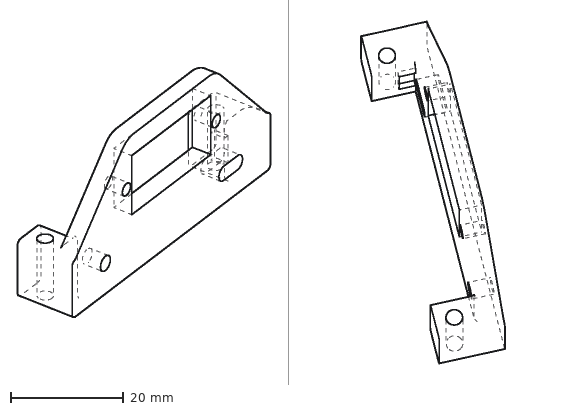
import cadquery as cq
import math

depth = 12.0
length = 60.4
height = 29.6
half_length = length / 2

plate_thickness = 4.05
plate_front = depth - plate_thickness
edge_radius = 1.0
shoulder_y = 13.5
shoulder_radius = 4.85
slope_foot_y = 29.35
plate_half_width = 29.6

block_height = 12.1
left_block_width = 8.45
right_block_width = 7.1
left_block_hole_y = 25.1
right_block_hole_y = -26.7
block_hole_x = 3.55
block_hole_diameter = 2.95

window_width = 24.0
window_bottom = 12.6
window_top = 25.2
window_screw_y = 13.65
window_screw_z = 18.85
window_screw_diameter = 2.5

fixing_z = 6.5
fixing_diameter = 3.0
slot_y = 18.05
slot_length = 7.2
fixing_hole_y = -20.05

recess_front = 4.95
recess_depth = 1.0
recess_height = 5.8


def box_between(x_range, y_range, z_range):
    """Axis-aligned box given by its limits."""
    sizes = [high - low for low, high in (x_range, y_range, z_range)]
    corner = (x_range[0], y_range[0], z_range[0])
    return cq.Workplane("XY").box(*sizes, centered=False).translate(corner)


def plate_sketch():
    """Workplane on the plate front, with local axes along Y and Z."""
    return cq.Workplane("YZ", origin=(plate_front, 0, 0))


def make_plate():
    """Plate with sloping sides, rounded shoulders and a rounded front rim."""
    slope_run = (slope_foot_y - shoulder_y) / (height - block_height)
    slope_end_z = block_height - (plate_half_width - slope_foot_y) / slope_run
    outline = [
        (-plate_half_width, 0),
        (plate_half_width, 0),
        (plate_half_width, slope_end_z),
        (shoulder_y, height),
        (-shoulder_y, height),
        (-plate_half_width, slope_end_z),
    ]
    plate = plate_sketch().polyline(outline).close().extrude(plate_thickness)
    plate = plate.edges("|X").edges(">Z").fillet(shoulder_radius)
    return plate.faces("<X").edges().fillet(edge_radius)


def make_block(y_low, y_high):
    """Square-edged block running the full depth."""
    return box_between((0, depth), (y_low, y_high), (0, block_height))


def fillet_block_tops(body):
    """Concave fillet where the block tops run into the plate front."""
    seams = cq.selectors.BoxSelector(
        (plate_front - 0.05, -half_length, block_height - 0.05),
        (plate_front + edge_radius, half_length, block_height + 0.05),
    )
    return body.edges(seams).fillet(edge_radius)


def round_block_edges(body):
    """Round the long block edges except the inner top ones."""
    long_edges = body.edges("|X").filter(lambda edge: edge.BoundingBox().xmin < 0.05)
    rounded = [
        edge for edge in long_edges.vals()
        if edge.Center().z < block_height - 0.05 or abs(edge.Center().y) > half_length - 0.05
    ]
    return body.newObject(rounded).fillet(edge_radius)


def inner_top_cutter(inner_y, inward):
    """Waste over a rounded inner top edge, following the concave fillet up to the plate.

    inward is the Y direction, +1 or -1, from the inner side into the block.
    """
    bend_start = plate_front - edge_radius
    sideways = inward * edge_radius
    diagonal = edge_radius * (1 - math.sqrt(0.5))
    profile = (
        cq.Workplane("YZ", origin=(bend_start, inner_y, block_height))
        .moveTo(sideways, 0)
        .threePointArc((inward * diagonal, -diagonal), (0, -edge_radius))
        .lineTo(-sideways, -edge_radius)
        .lineTo(-sideways, edge_radius / 2)
        .lineTo(sideways, edge_radius / 2)
        .close()
    )
    straight = profile.extrude(-bend_start)
    bend = profile.toPending().revolve(90, (0, edge_radius, 0), (-1, edge_radius, 0))
    in_front_of_plate = box_between(
        (0, plate_front), (-half_length, half_length), (0, height)
    )
    return straight.union(bend).intersect(in_front_of_plate)


def block_hole(y):
    """Vertical hole through a block."""
    hole = cq.Workplane("XY").center(block_hole_x, y)
    return hole.circle(block_hole_diameter / 2).extrude(block_height)


left_block_inner = half_length - left_block_width
right_block_inner = right_block_width - half_length

result = make_plate()
result = result.union(make_block(left_block_inner, half_length))
result = result.union(make_block(-half_length, right_block_inner))
result = fillet_block_tops(result)
result = round_block_edges(result)
result = result.cut(inner_top_cutter(left_block_inner, 1))
result = result.cut(inner_top_cutter(right_block_inner, -1))

for hole_y in (left_block_hole_y, right_block_hole_y):
    result = result.cut(block_hole(hole_y))

half_window = window_width / 2
result = result.cut(
    box_between((plate_front, depth), (-half_window, half_window), (window_bottom, window_top))
)
window_screws = [(-window_screw_y, window_screw_z), (window_screw_y, window_screw_z)]
result = result.cut(
    plate_sketch().pushPoints(window_screws).circle(window_screw_diameter / 2).extrude(plate_thickness)
)

result = result.cut(
    plate_sketch().center(slot_y, fixing_z).slot2D(slot_length, fixing_diameter).extrude(plate_thickness)
)
result = result.cut(
    plate_sketch().center(fixing_hole_y, fixing_z).circle(fixing_diameter / 2).extrude(plate_thickness)
)

result = result.cut(
    box_between(
        (recess_front, plate_front),
        (left_block_inner, left_block_inner + recess_depth),
        (fixing_z - recess_height / 2, fixing_z + recess_height / 2),
    )
)